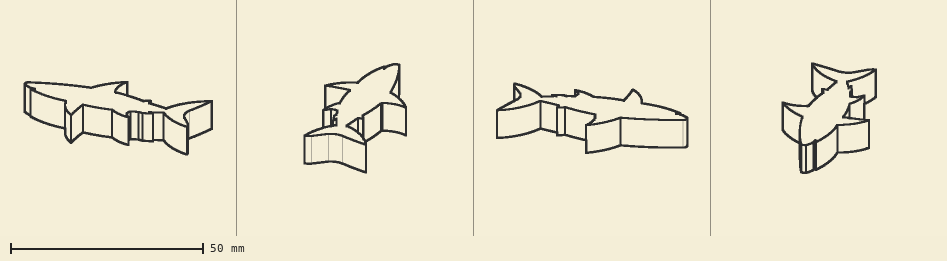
import cadquery as cq

length = 49.3
height = 24.55
thickness = 8.0

snout_bottom = (0, 11.6)
snout_top = (0, 12.4)
forehead = (0.7, 13.1)
upper_lip = (2.45, 10.15)
mouth_corner = (3.75, 10.1)
lower_lip = (2.65, 9.55)

dorsal_front = (16.45, 17.25)
dorsal_tip = (23.35, height)
dorsal_rear = (23.1, 17.85)
dorsal_foot = (23.5, 17.55)

rear_dorsal_front = (32.2, 16.0)
rear_dorsal_tip = (34.0, 16.95)
rear_dorsal_foot = (34.0, 15.55)

tail_root_top = (39.5, 14.6)
tail_upper_tip = (48.2, 23.75)
tail_notch_top = (45.6, 16.05)
tail_notch_bottom = (45.85, 12.15)
tail_lower_shoulder = (48.7, 8.65)
tail_lower_tip = (length, 6.85)
tail_root_bottom = (40.05, 11.95)

anal_fin_notch = (36.45, 10.5)
anal_fin_tip = (37.9, 10.15)
anal_fin_bottom = (35.25, 9.25)
anal_fin_front = (34.05, 9.45)

pelvic_foot = (32.0, 8.8)
pelvic_rear = (31.75, 6.9)
pelvic_tip = (33.2, 5.3)
pelvic_front = (27.3, 7.6)

pectoral_foot = (19.15, 7.0)
pectoral_tip = (19.15, 0)
pectoral_front = (14.2, 7.1)

snout_curve = (0.2, 12.8)
back_curve = (8.35, 15.62)
dorsal_front_curve = (19.15, 21.05)
dorsal_rear_curve = (22.57, 21.2)
rear_back_curve = (27.85, 17.0)
rear_dorsal_curve = (33.0, 16.55)
tail_upper_curve = (43.05, 20.0)
tail_trailing_curve = (47.0, 19.9)
tail_notch_curve = (45.3, 14.1)
tail_corner_curve = (49.1, 7.85)
tail_lower_curve = (44.15, 8.7)
pelvic_rear_curve = (31.7, 7.9)
pelvic_front_curve = (29.65, 6.2)
belly_curve = (23.25, 7.05)
pectoral_rear_curve = (19.05, 3.5)
pectoral_front_curve = (16.05, 3.05)
throat_curve = (8.25, 7.65)
jaw_curve = (1.2, 10.75)

outline = (
    cq.Workplane("XY")
    .moveTo(*snout_bottom)
    .lineTo(*snout_top)
    .threePointArc(snout_curve, forehead)
    .threePointArc(back_curve, dorsal_front)
    .threePointArc(dorsal_front_curve, dorsal_tip)
    .threePointArc(dorsal_rear_curve, dorsal_rear)
    .lineTo(*dorsal_foot)
    .threePointArc(rear_back_curve, rear_dorsal_front)
    .threePointArc(rear_dorsal_curve, rear_dorsal_tip)
    .lineTo(*rear_dorsal_foot)
    .lineTo(*tail_root_top)
    .threePointArc(tail_upper_curve, tail_upper_tip)
    .threePointArc(tail_trailing_curve, tail_notch_top)
    .threePointArc(tail_notch_curve, tail_notch_bottom)
    .lineTo(*tail_lower_shoulder)
    .threePointArc(tail_corner_curve, tail_lower_tip)
    .threePointArc(tail_lower_curve, tail_root_bottom)
    .lineTo(*anal_fin_notch)
    .lineTo(*anal_fin_tip)
    .lineTo(*anal_fin_bottom)
    .lineTo(*anal_fin_front)
    .lineTo(*pelvic_foot)
    .threePointArc(pelvic_rear_curve, pelvic_rear)
    .lineTo(*pelvic_tip)
    .threePointArc(pelvic_front_curve, pelvic_front)
    .threePointArc(belly_curve, pectoral_foot)
    .threePointArc(pectoral_rear_curve, pectoral_tip)
    .threePointArc(pectoral_front_curve, pectoral_front)
    .threePointArc(throat_curve, lower_lip)
    .lineTo(*mouth_corner)
    .lineTo(*upper_lip)
    .threePointArc(jaw_curve, snout_bottom)
    .close()
)

result = outline.extrude(thickness)